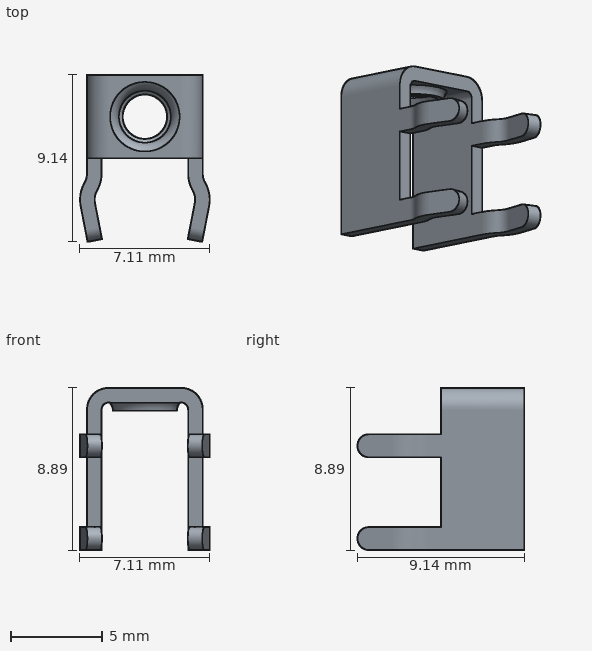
import math

import cadquery as cq


sheet = 0.8128
body_width = 6.35
body_depth = 4.572
body_height = 8.89
outer_bend = 1.1938
inner_bend = outer_bend - sheet

leg_height = 1.27
leg_pitch = 5.08
leg_length = 4.572
leg_straight = 0.83
leg_bulge = 0.381
splay_angle = math.radians(30)
return_angle = math.radians(11)
knee_radius = 1.83

eyelet_depth = 1.27
mouth_radius = 1.905
neck_radius = 1.42
neck_depth = 0.77
throat_radius = 1.21
throat_depth = 0.90
collar_bore_radius = 1.44
collar_root_radius = 1.925
collar_outer_radius = 1.757

half_width = body_width / 2
front_y = -body_depth / 2
tip_radius = leg_height / 2
splay_radius = leg_bulge / (1 - math.cos(splay_angle)) - knee_radius


def make_channel():
    """Inverted U with rounded shoulders, extruded along Y."""
    outer = (
        cq.Workplane("XY")
        .box(body_width, body_depth, body_height, centered=(True, True, False))
        .edges("|Y and >Z")
        .fillet(outer_bend)
    )
    inner = (
        cq.Workplane("XY")
        .box(body_width - 2 * sheet, body_depth, body_height - sheet, centered=(True, True, False))
        .edges("|Y and >Z")
        .fillet(inner_bend)
    )
    return outer.cut(inner)


def polar(center, radius, angle):
    """Point on a circle, with the angle measured from +X."""
    return (center[0] + radius * math.cos(angle), center[1] + radius * math.sin(angle))


def make_right_leg():
    """Joggled leg on the +X wall, resting on Z = 0, with a full-round tip."""
    splay_center = (half_width + splay_radius, front_y - leg_straight)
    splay_end = math.pi + splay_angle
    knee_center = polar(splay_center, splay_radius + knee_radius, splay_end)
    knee_start = splay_angle
    knee_end = -return_angle

    def splay_point(offset, angle):
        return polar(splay_center, splay_radius + offset, angle)

    def knee_point(offset, angle):
        return polar(knee_center, knee_radius - offset, angle)

    splay_middle = math.pi + splay_angle / 2
    knee_middle = (knee_start + knee_end) / 2

    heading = (-math.sin(return_angle), -math.cos(return_angle))
    tip_y = front_y - leg_length
    knee_exit_y = knee_point(0, knee_end)[1]
    end_run = (knee_exit_y - tip_y) / math.cos(return_angle) - tip_radius

    def end_point(offset):
        start = knee_point(offset, knee_end)
        return (start[0] + end_run * heading[0], start[1] + end_run * heading[1])

    bar = (
        cq.Workplane("XY")
        .moveTo(half_width, front_y)
        .lineTo(*splay_point(0, math.pi))
        .threePointArc(splay_point(0, splay_middle), splay_point(0, splay_end))
        .threePointArc(knee_point(0, knee_middle), knee_point(0, knee_end))
        .lineTo(*end_point(0))
        .lineTo(*end_point(sheet))
        .lineTo(*knee_point(sheet, knee_end))
        .threePointArc(knee_point(sheet, knee_middle), knee_point(sheet, knee_start))
        .threePointArc(splay_point(sheet, splay_middle), splay_point(sheet, math.pi))
        .lineTo(half_width - sheet, front_y)
        .close()
        .extrude(leg_height)
    )
    inward = (-math.cos(return_angle), math.sin(return_angle), 0)
    tip_plane = cq.Plane(
        origin=(*end_point(0), tip_radius),
        xDir=(*heading, 0),
        normal=inward,
    )
    tip = cq.Workplane(tip_plane).circle(tip_radius).extrude(sheet)
    return bar.union(tip)


def add_flare(profile, start, end):
    """Extend a profile by an arc that narrows from start and is vertical at end."""
    run = start[0] - end[0]
    drop = start[1] - end[1]
    radius = (run**2 + drop**2) / (2 * run)
    half_sweep = math.asin(drop / radius) / 2
    center = (end[0] + radius, end[1])
    middle = polar(center, radius, math.pi - half_sweep)
    return profile.lineTo(*start).threePointArc(middle, end)


def revolve_profile(profile):
    """Close a half profile on the eyelet axis and spin it into a solid."""
    return profile.close().revolve(360, (0, 0, 0), (0, 1, 0))


def make_eyelet_collar():
    """Solid collar drawn down from the underside of the top plate."""
    root_z = body_height - sheet
    bottom_z = body_height - eyelet_depth
    profile = cq.Workplane("XZ").moveTo(0, root_z)
    profile = add_flare(profile, (collar_root_radius, root_z), (collar_outer_radius, bottom_z))
    return revolve_profile(profile.lineTo(0, bottom_z))


def make_eyelet_bore():
    """Flared mouth, narrow throat and a bore that opens towards the bottom."""
    bottom_z = body_height - eyelet_depth
    profile = cq.Workplane("XZ").moveTo(0, body_height)
    profile = add_flare(profile, (mouth_radius, body_height), (neck_radius, body_height - neck_depth))
    return revolve_profile(
        profile.lineTo(throat_radius, body_height - throat_depth)
        .lineTo(collar_bore_radius, bottom_z)
        .lineTo(0, bottom_z)
    )


result = make_channel().union(make_eyelet_collar()).cut(make_eyelet_bore())

right_leg = make_right_leg()
left_leg = right_leg.mirror("YZ")
for leg_z in (0, leg_pitch):
    for leg in (left_leg, right_leg):
        result = result.union(leg.translate((0, 0, leg_z)))